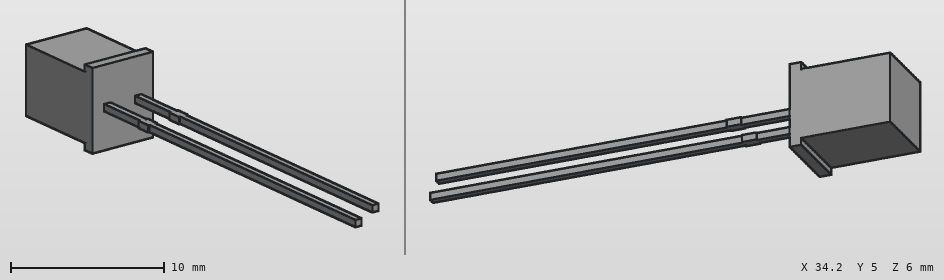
import cadquery as cq

total_length = 34.2
body_width = 5.0
body_height = body_width
body_length = 7.15

flange_height = 6.0
flange_thickness = 0.82

lead_size = 0.5
lead_pitch = 2.53
short_lead_setback = 1.5

collar_width = 0.72
collar_length = 1.03
collar_offset = 3.83

long_lead_length = total_length - body_length
short_lead_length = long_lead_length - short_lead_setback


def block(x_start, length, width, height, y_center=0.0):
    """Box running toward +X from x_start, centred on y_center and Z = 0."""
    return (
        cq.Workplane("XY")
        .box(length, width, height, centered=(False, True, True))
        .translate((x_start, y_center, 0))
    )


def make_housing():
    """Lens block with a flange that stands out above and below at its back end."""
    lens = block(0, body_length, body_width, body_height)
    flange_start = body_length - flange_thickness
    flange = block(flange_start, flange_thickness, body_width, flange_height)
    return lens.union(flange)


def make_lead(length, y_center):
    """Square lead with a wider stand-off collar."""
    wire = block(body_length, length, lead_size, lead_size, y_center)
    collar_start = body_length + collar_offset
    collar = block(collar_start, collar_length, collar_width, lead_size, y_center)
    return wire.union(collar)


long_lead = make_lead(long_lead_length, -lead_pitch / 2)
short_lead = make_lead(short_lead_length, lead_pitch / 2)

result = make_housing().union(long_lead).union(short_lead)